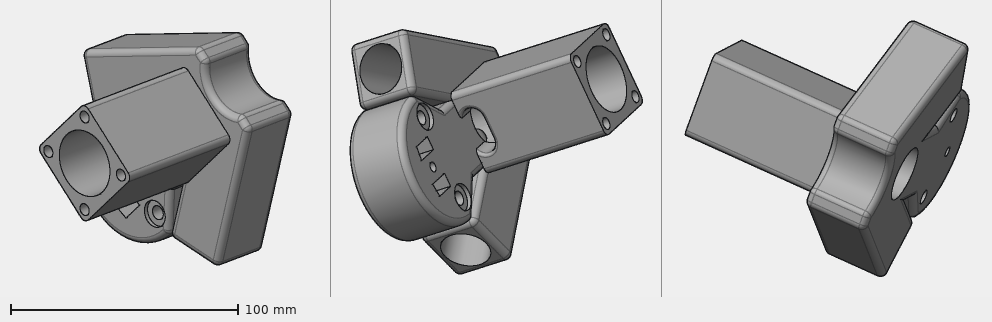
import cadquery as cq
import math


plate_thickness = 30.0
edge_radius = 3.0

arm_slope = math.radians(30)
arm_width = plate_thickness
arm_axis_offset = 19.8
arm_end = 55.6
nose_u = 32.1
notch_u = 41.2
notch_radius = 17.0

neck_half_width = 17.2
neck_end_u = -29.7
head_u = -45.8
head_radius = 30.9
shoulder_angle = math.radians(41.9)

tube_side = 40.0
tube_length = 65.0
tube_bolt_spacing = 30.8
tube_bolt_diameter = 5.5
tube_bolt_depth = 20.2
bore_diameter = 25.0
wide_bore_diameter = 30.4
wide_bore_depth = 50.0

slot_length = 22.0
slot_width = 11.5
slot_lip_radius = 1.5
slot_setback = 5.2

screw_u = -45.4
screw_v = 20.0
screw_diameter = 6.5
screw_head_diameter = 12.4
screw_head_depth = 2.0
pin_u = -57.1
pin_diameter = 4.5
pocket_neck_end_u = -50.8
pocket_outer_corner_u = -62.2
pocket_inner_corner_u = -63.3
pocket_inner_v = 5.9
pocket_outer_v = 12.3
pocket_depth = 15.1

socket_diameter = 22.4
socket_depth = 43.7
passage_diameter = 12.4
passage_straight = 5.9


def local_plane(y):
    """Plane across the bore axis at world Y = y: its x is u, its y is v, and it faces -Y."""
    return cq.Plane(origin=(0, y, 0), xDir=(1, 0, 1), normal=(0, -1, 0))


front = cq.Workplane(local_plane(0))
back = cq.Workplane(local_plane(plate_thickness))
tube_end = cq.Workplane(local_plane(-tube_length))


def arm_point(along, outward):
    """(u, v) of a point of the arm on the +v side."""
    cos_slope = math.cos(arm_slope)
    sin_slope = math.sin(arm_slope)
    return (
        along * cos_slope + outward * sin_slope,
        -along * sin_slope + outward * cos_slope,
    )


def mirrored(point):
    """The same (u, v) point on the other side of the symmetry plane."""
    return (point[0], -point[1])


def shoulder_corner():
    """(u, v) where the straight shoulder that starts at the neck end meets the head circle."""
    run_u = -math.cos(shoulder_angle)
    run_v = math.sin(shoulder_angle)
    from_head_u = neck_end_u - head_u
    along = from_head_u * run_u + neck_half_width * run_v
    across = from_head_u * run_v - neck_half_width * run_u
    length = math.sqrt(head_radius**2 - across**2) - along
    return (neck_end_u + length * run_u, neck_half_width + length * run_v)


def make_plate():
    """Plate with both arms and the head, with all its outer edges rounded."""
    outer_line = arm_axis_offset + arm_width / 2
    inner_line = arm_axis_offset - arm_width / 2
    notch_corner = (nose_u, math.sqrt(notch_radius**2 - (notch_u - nose_u) ** 2))
    nose_corner = (nose_u, (outer_line - nose_u * math.sin(arm_slope)) / math.cos(arm_slope))
    end_outer = arm_point(-arm_end, outer_line)
    end_inner = arm_point(-arm_end, inner_line)
    crotch_u = (inner_line - neck_half_width * math.cos(arm_slope)) / math.sin(arm_slope)
    crotch = (crotch_u, neck_half_width)
    neck_end = (neck_end_u, neck_half_width)
    shoulder = shoulder_corner()

    half = [nose_corner, end_outer, end_inner, crotch, neck_end, shoulder]
    outline = back.moveTo(*notch_corner)
    for point in half:
        outline = outline.lineTo(*point)
    outline = outline.threePointArc((head_u - head_radius, 0), mirrored(shoulder))
    for point in reversed(half[:-1]):
        outline = outline.lineTo(*mirrored(point))
    outline = outline.lineTo(*mirrored(notch_corner))
    outline = outline.threePointArc((notch_u - notch_radius, 0), notch_corner).close()
    plate = outline.extrude(plate_thickness)

    mid = local_plane(plate_thickness / 2)
    for corner in (notch_corner, nose_corner, end_outer, end_inner, shoulder):
        for point in (corner, mirrored(corner)):
            upright = cq.NearestToPointSelector(mid.toWorldCoords(point))
            plate = plate.edges(upright).fillet(edge_radius)
    return plate.faces("<Y or >Y").edges().fillet(edge_radius)


def make_tube():
    """Square tube with its side slot.

    It starts out long enough to hold the whole lip of the slot, and is then cut level with the plate.
    """
    long_tube = tube_end.rect(tube_side, tube_side).extrude(-tube_length - slot_width)
    long_tube = long_tube.edges("|Y").fillet(edge_radius)
    surplus = front.rect(2 * tube_side, 2 * tube_side).extrude(-2 * slot_width)
    return cut_side_slot(long_tube).cut(surplus)


def cut_bore(body):
    """Through bore, its wider front part and the four bolt holes in the end of the tube."""
    bore = tube_end.circle(bore_diameter / 2).extrude(-(tube_length + plate_thickness))
    wide_bore = tube_end.circle(wide_bore_diameter / 2).extrude(-wide_bore_depth)
    bolts = tube_end.rect(tube_bolt_spacing, tube_bolt_spacing, forConstruction=True).vertices()
    bolt_holes = bolts.circle(tube_bolt_diameter / 2).extrude(-tube_bolt_depth)
    return body.cut(bore).cut(wide_bore).cut(bolt_holes)


def cut_side_slot(body):
    """Slot from the tube wall that faces -u to the bore, with a rounded lip."""
    wall = cq.Workplane(
        cq.Plane(
            origin=local_plane(-slot_setback).toWorldCoords((-tube_side / 2, 0)),
            xDir=front.plane.yDir,
            normal=-front.plane.xDir,
        )
    )
    slot = wall.slot2D(slot_length, slot_width).extrude(-tube_side / 2)
    rim_point = wall.plane.toWorldCoords((0, slot_width / 2))
    return body.cut(slot).edges(cq.NearestToPointSelector(rim_point)).fillet(slot_lip_radius)


def cut_head_holes(body):
    """Two counterbored screw holes, a pin hole and two blind pockets."""
    screws = front.pushPoints([(screw_u, screw_v), (screw_u, -screw_v)])
    screw_holes = screws.circle(screw_diameter / 2).extrude(-plate_thickness)
    screw_heads = screws.circle(screw_head_diameter / 2).extrude(-screw_head_depth)
    pin_hole = front.center(pin_u, 0).circle(pin_diameter / 2).extrude(-plate_thickness)
    body = body.cut(screw_holes).cut(screw_heads).cut(pin_hole)
    pocket = [
        (pocket_neck_end_u, pocket_inner_v),
        (pocket_neck_end_u, pocket_outer_v),
        (pocket_outer_corner_u, pocket_outer_v),
        (pocket_inner_corner_u, pocket_inner_v),
    ]
    for side in (pocket, [mirrored(p) for p in pocket]):
        body = body.cut(front.polyline(side).close().extrude(-pocket_depth))
    return body


def cut_arm_holes(body):
    """Blind socket along each arm, and a passage that bends from its floor into the bore."""
    mid = local_plane(plate_thickness / 2)
    for side in (1, -1):

        def place(along):
            u, v = arm_point(along, arm_axis_offset)
            return mid.toWorldCoords((u, side * v))

        mouth = place(-arm_end)
        floor = place(socket_depth - arm_end)
        bend = place(socket_depth - arm_end + passage_straight)
        bend_local = mid.toLocalCoords(bend)
        bore_side = mid.toWorldCoords((bend_local.x, 0))
        inward = floor - mouth
        socket = cq.Workplane(cq.Plane(origin=mouth, xDir=(0, 1, 0), normal=inward))
        body = body.cut(socket.circle(socket_diameter / 2).extrude(socket_depth))
        path = cq.Workplane(cq.Wire.makePolygon([floor, bend, bore_side]))
        section = socket.workplane(offset=socket_depth).circle(passage_diameter / 2)
        body = body.cut(section.sweep(path, transition="right"))
    return body


body = make_plate().union(make_tube())
body = cut_bore(body)
body = cut_head_holes(body)
result = cut_arm_holes(body)